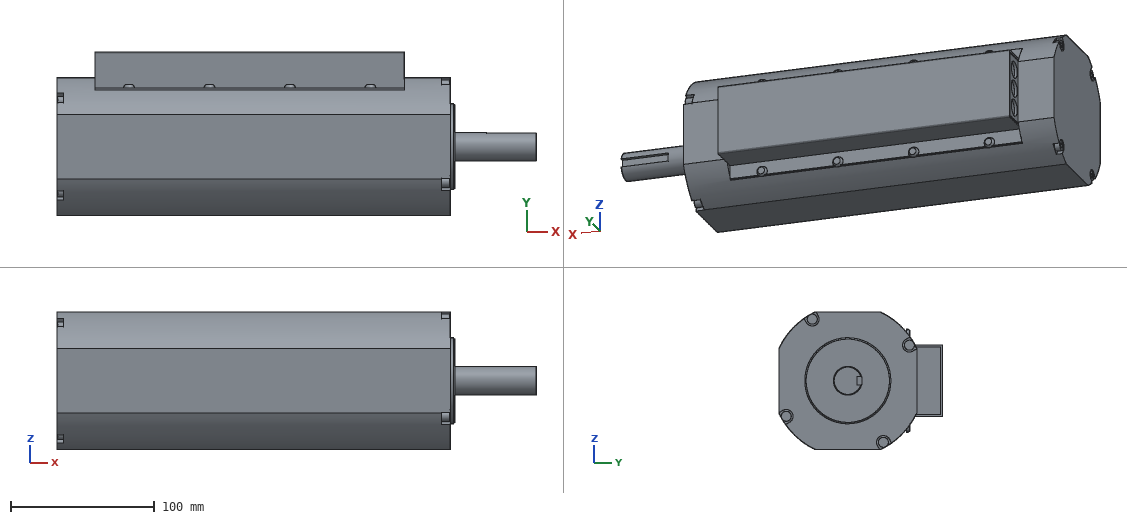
import cadquery as cq

BODY_LENGTH = 274.0
BODY_WIDTH = 96.0
CORNER_DIAMETER = 106.0

PILOT_DIAMETER = 60.0
PILOT_LENGTH = 3.0
PILOT_CHAMFER = 1.0
SHAFT_DIAMETER = 20.0
SHAFT_CHAMFER = 0.5
KEYWAY_LENGTH = 35.0
KEYWAY_WIDTH = 6.0
KEYWAY_DEPTH = 3.5
TOTAL_LENGTH = 334.0

BOX_START = 26.5
BOX_LENGTH = 215.5
BOX_WIDTH = 50.0
BOX_TOP = 66.0
BOX_EDGE_RADIUS = 0.8
SEAT_HEIGHT = 39.5
FLANGE_THICKNESS = 1.5
FLANGE_WIDTH = 69.5
FLANGE_TOP = SEAT_HEIGHT + FLANGE_THICKNESS
END_PANEL_MARGIN = 1.5
END_PANEL_RECESS = 0.5
CABLE_HOLE_DIAMETER = 12.0
CABLE_HOLE_PITCH = 14.1
CABLE_HOLE_HEIGHT = 54.6
CABLE_HOLE_DEPTH = 2.0

BUTTON_DIAMETER = 7.6
BUTTON_TOP_DIAMETER = 5.0
BUTTON_HEIGHT = 2.2
BUTTON_CROWN_RADIUS = 3.2
BUTTON_OFFSET = 32.4
BUTTON_PITCH = 56.0
BUTTON_COUNT = 4
BUTTON_MARGIN = (BOX_LENGTH - (BUTTON_COUNT - 1) * BUTTON_PITCH) / 2

CAP_HEAD_DIAMETER = 7.0
CAP_HEAD_HEIGHT = 4.0
CAP_SOCKET_ACROSS_CORNERS = 3.5
CAP_SOCKET_DEPTH = 2.0
REAR_SLOT_WIDTH = 8.5
REAR_SLOT_DEPTH = 4.5
REAR_SCREW_RADIUS = 48.9
REAR_SCREW_ANGLE = 50.0
FRONT_SLOT_WIDTH = 9.5
FRONT_SLOT_DEPTH = 6.3
FRONT_HEAD_HEIGHT = 5.5
FRONT_SCREW_RADIUS = 49.5
FRONT_SCREW_ANGLE = 30.0


def x_cylinder(diameter, start, length, y=0.0, z=0.0):
    """Cylinder along +X from the given start."""
    return cq.Workplane("YZ", origin=(start, y, z)).circle(diameter / 2).extrude(length)


def box_block(x_start, length, y_start, y_end, width):
    """Block centred on Z, given by its X and Y extents."""
    block = cq.Workplane("XY").box(length, y_end - y_start, width, centered=(False, False, True))
    return block.translate((x_start, y_start, 0))


def make_body():
    square = cq.Workplane("YZ").rect(BODY_WIDTH, BODY_WIDTH).extrude(BODY_LENGTH)
    return square.intersect(x_cylinder(CORNER_DIAMETER, 0, BODY_LENGTH))


def make_drive_end():
    pilot = x_cylinder(PILOT_DIAMETER, BODY_LENGTH, PILOT_LENGTH)
    pilot = pilot.faces(">X").chamfer(PILOT_CHAMFER)
    shaft = x_cylinder(SHAFT_DIAMETER, BODY_LENGTH, TOTAL_LENGTH - BODY_LENGTH)
    shaft = shaft.faces(">X").chamfer(SHAFT_CHAMFER)
    shaft_top = SHAFT_DIAMETER / 2
    keyway_start = TOTAL_LENGTH - KEYWAY_LENGTH
    keyway = box_block(keyway_start, KEYWAY_LENGTH, shaft_top - KEYWAY_DEPTH, shaft_top, KEYWAY_WIDTH)
    return pilot.union(shaft.cut(keyway))


def make_terminal_box():
    box = box_block(BOX_START, BOX_LENGTH, SEAT_HEIGHT, BOX_TOP, BOX_WIDTH)
    box = box.faces(">Y").edges("|X").fillet(BOX_EDGE_RADIUS)
    panel_width = BOX_WIDTH - 2 * END_PANEL_MARGIN
    panel_top = BOX_TOP - END_PANEL_MARGIN
    box_end = BOX_START + BOX_LENGTH
    for panel_start in (BOX_START, box_end - END_PANEL_RECESS):
        box = box.cut(box_block(panel_start, END_PANEL_RECESS, SEAT_HEIGHT, panel_top, panel_width))
    for index in (-1, 0, 1):
        depth = END_PANEL_RECESS + CABLE_HOLE_DEPTH
        z = index * CABLE_HOLE_PITCH
        box = box.cut(x_cylinder(CABLE_HOLE_DIAMETER, BOX_START, depth, CABLE_HOLE_HEIGHT, z))
    return box


def make_button_head(x, z):
    """Rounded screw head standing on the box flange, axis along Y."""
    head = (
        cq.Workplane("XY")
        .lineTo(BUTTON_DIAMETER / 2, 0)
        .radiusArc((BUTTON_TOP_DIAMETER / 2, BUTTON_HEIGHT), -BUTTON_CROWN_RADIUS)
        .lineTo(0, BUTTON_HEIGHT)
        .close()
        .revolve(360, (0, 0), (0, 1))
    )
    return head.translate((x, FLANGE_TOP, z))


def make_slot(width, radius, start, depth):
    """Round-ended slot along +Y, closed at the screw axis and open outward."""
    reach = CORNER_DIAMETER / 2
    channel = cq.Workplane("XY").box(depth, reach, width, centered=(False, False, True))
    return channel.translate((start, radius, 0)).union(x_cylinder(width, start, depth, radius))


def rotated(shape, angle):
    """Turn a shape about the motor axis."""
    return shape.rotate((0, 0, 0), (1, 0, 0), angle)


def add_rear_screws(part):
    slot = make_slot(REAR_SLOT_WIDTH, REAR_SCREW_RADIUS, 0, REAR_SLOT_DEPTH)
    head_start = REAR_SLOT_DEPTH - CAP_HEAD_HEIGHT
    head = x_cylinder(CAP_HEAD_DIAMETER, head_start, CAP_HEAD_HEIGHT, REAR_SCREW_RADIUS)
    socket = (
        cq.Workplane("YZ", origin=(head_start, REAR_SCREW_RADIUS, 0))
        .polygon(6, CAP_SOCKET_ACROSS_CORNERS)
        .extrude(CAP_SOCKET_DEPTH)
    )
    head = head.cut(socket)
    for side in (0, 180):
        for angle in (side + REAR_SCREW_ANGLE, side - REAR_SCREW_ANGLE):
            part = part.cut(rotated(slot, angle)).union(rotated(head, angle))
    return part


def add_front_screws(part):
    floor = BODY_LENGTH - FRONT_SLOT_DEPTH
    slot = make_slot(FRONT_SLOT_WIDTH, FRONT_SCREW_RADIUS, floor, FRONT_SLOT_DEPTH)
    head = x_cylinder(CAP_HEAD_DIAMETER, floor, FRONT_HEAD_HEIGHT, FRONT_SCREW_RADIUS)
    for quarter in range(4):
        angle = FRONT_SCREW_ANGLE + 90 * quarter
        part = part.cut(rotated(slot, angle)).union(rotated(head, angle))
    return part


def add_terminal_box(part):
    part = part.cut(box_block(BOX_START, BOX_LENGTH, SEAT_HEIGHT, BOX_TOP, BODY_WIDTH))
    part = part.union(box_block(BOX_START, BOX_LENGTH, SEAT_HEIGHT, FLANGE_TOP, FLANGE_WIDTH))
    part = part.union(make_terminal_box())
    for index in range(BUTTON_COUNT):
        x = BOX_START + BUTTON_MARGIN + index * BUTTON_PITCH
        for z in (BUTTON_OFFSET, -BUTTON_OFFSET):
            part = part.union(make_button_head(x, z))
    return part


motor = make_body().union(make_drive_end())
motor = add_rear_screws(motor)
motor = add_front_screws(motor)
result = add_terminal_box(motor)